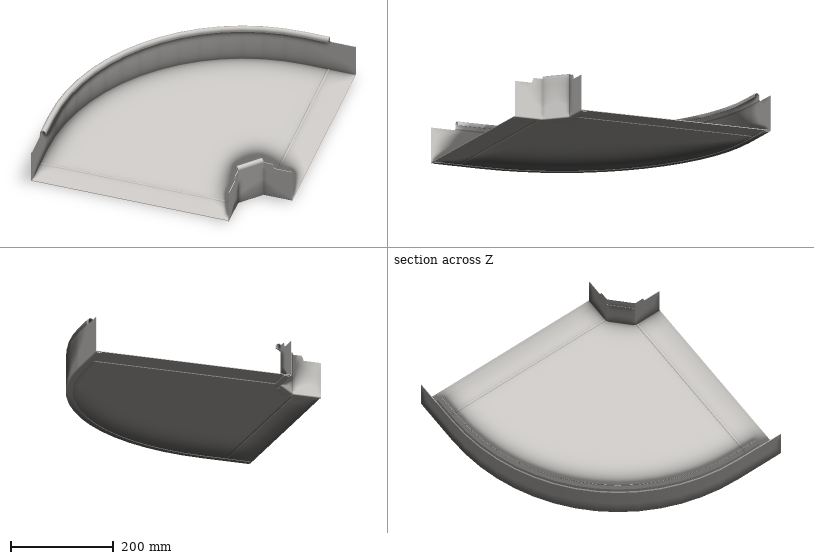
import cadquery as cq
import math

SIZE = 501.5
SHEET = 1.25
BEND_RADIUS = 2.5
FOOT_WIDTH = 13.5
FOOT_SETBACK = 3.5
TRAY_WIDTH = 404.0
STRAIGHT = 102.0
LIP_STOP = 51.5
HEIGHT = 88.0
LIP_RADIUS = 6.0
LIP_DROP = 3.0
LOW_TOP = 72.0
JOG_RISE = 2.5
JOG_INSET = 1.5
CORNER_LEG = 58.0
STEP_RUN = 40.0
STEP_SLANT = 4.0
BEAD_WIDTH = 5.5
BEAD_HEIGHT = 1.5

ARC_RADIUS = SIZE - STRAIGHT
ROLL_Z = HEIGHT - LIP_RADIUS
INNER_FACE = SIZE - TRAY_WIDTH
DIAGONAL = (INNER_FACE - CORNER_LEG) * math.sqrt(2)
MITRE = math.tan(math.radians(22.5))
FLOOR_TOP = 2 * SHEET

MIRROR_NORMAL = cq.Vector(1, 1, 0)
MIRROR_POINT = (SIZE / 2, SIZE / 2, 0)


def mirrored(leg):
    """The same feature on the other leg."""
    return leg.mirror(MIRROR_NORMAL, MIRROR_POINT)


def section_plane(x, y, inward):
    """Vertical plane whose local axes are the inset from the wall's outside and the height."""
    normal = cq.Vector(*inward).cross(cq.Vector(0, 0, 1))
    return cq.Workplane(cq.Plane(origin=(x, y, 0), xDir=inward, normal=normal))


def foot_section(plane):
    """Flange lying under the floor and the quarter-round bend up to the wall."""
    diagonal = math.sqrt(0.5)
    outer_mid = BEND_RADIUS * (1 - diagonal)
    inner_mid = BEND_RADIUS - (BEND_RADIUS - SHEET) * diagonal
    return (
        plane.moveTo(FOOT_WIDTH, 0)
        .lineTo(FOOT_WIDTH, SHEET)
        .lineTo(BEND_RADIUS, SHEET)
        .threePointArc((inner_mid, inner_mid), (SHEET, BEND_RADIUS))
        .lineTo(0, BEND_RADIUS)
        .threePointArc((outer_mid, outer_mid), (BEND_RADIUS, 0))
        .close()
    )


def jogged_wall_section(plane):
    """Outer wall, offset inward by the sloped jog."""
    jog_top = LOW_TOP + JOG_RISE
    return (
        plane.moveTo(0, BEND_RADIUS)
        .lineTo(0, LOW_TOP)
        .lineTo(JOG_INSET, jog_top)
        .lineTo(JOG_INSET, ROLL_Z)
        .lineTo(JOG_INSET + SHEET, ROLL_Z)
        .lineTo(JOG_INSET + SHEET, jog_top)
        .lineTo(SHEET, LOW_TOP)
        .lineTo(SHEET, BEND_RADIUS)
        .close()
    )


def lip_section(plane, inset):
    """Half-round roll turned inward over the wall, with a short straight tail."""
    middle = inset + LIP_RADIUS
    far = inset + 2 * LIP_RADIUS
    tail_z = ROLL_Z - LIP_DROP
    return (
        plane.moveTo(inset, ROLL_Z)
        .threePointArc((middle, HEIGHT), (far, ROLL_Z))
        .lineTo(far, tail_z)
        .lineTo(far - SHEET, tail_z)
        .lineTo(far - SHEET, ROLL_Z)
        .threePointArc((middle, HEIGHT - SHEET), (inset + SHEET, ROLL_Z))
        .close()
    )


def outer_sections(plane_at):
    """The three touching sections that make up the outer wall."""
    return [
        foot_section(plane_at()),
        jogged_wall_section(plane_at()),
        lip_section(plane_at(), JOG_INSET),
    ]


def open_end_notch(wall_y, side):
    """Foot corner left out at an open end; side is the direction from the wall to the foot."""
    flat = FOOT_WIDTH - BEND_RADIUS
    return (
        cq.Workplane("XY")
        .box(FOOT_SETBACK, flat, SHEET, centered=(False, True, False))
        .translate((SIZE - FOOT_SETBACK, wall_y + side * (BEND_RADIUS + flat / 2), 0))
    )


def make_outer_wall():
    leg = cq.Workplane("XY")
    for section in outer_sections(lambda: section_plane(SIZE, SIZE, (0, -1, 0))):
        leg = leg.union(section.extrude(STRAIGHT))
    above_low_top = (
        cq.Workplane("XY")
        .box(LIP_STOP, STRAIGHT, HEIGHT, centered=False)
        .translate((SIZE - LIP_STOP, SIZE - STRAIGHT, LOW_TOP))
    )
    leg = leg.cut(above_low_top).cut(open_end_notch(SIZE, -1))

    curve = cq.Workplane("XY")
    for section in outer_sections(lambda: section_plane(ARC_RADIUS, SIZE, (0, -1, 0))):
        curve = curve.union(section.revolve(90, (ARC_RADIUS, 0), (ARC_RADIUS, 1)))
    return leg.union(curve).union(mirrored(leg))


def inner_line(inset):
    """Plan points of the inner wall's face moved into the tray by an inset."""
    shift = inset * MITRE
    face = INNER_FACE + inset
    corner = CORNER_LEG + shift
    return [(SIZE - face, 0), (SIZE - face, corner), (SIZE - corner, face), (SIZE, face)]


def inner_wall_end_cut():
    """Space above the low end of the inner wall, bounded by the slanted step."""
    return (
        cq.Workplane("XZ", origin=(0, INNER_FACE, 0))
        .moveTo(SIZE - STEP_RUN, ROLL_Z)
        .lineTo(SIZE - STEP_RUN + STEP_SLANT, LOW_TOP)
        .lineTo(SIZE, LOW_TOP)
        .lineTo(SIZE, ROLL_Z)
        .close()
        .extrude(-SHEET)
    )


def make_inner_wall():
    end_cut = inner_wall_end_cut()
    wall = (
        cq.Workplane("XY", origin=(0, 0, BEND_RADIUS))
        .polyline(inner_line(0) + inner_line(SHEET)[::-1])
        .close()
        .extrude(ROLL_Z - BEND_RADIUS)
        .cut(end_cut)
        .cut(mirrored(end_cut))
    )

    leg_foot = foot_section(section_plane(SIZE - CORNER_LEG, INNER_FACE, (0, 1, 0)))
    leg_foot = leg_foot.extrude(CORNER_LEG).cut(open_end_notch(INNER_FACE, 1))

    inward = (-1, 1, 0)
    corner = (TRAY_WIDTH, CORNER_LEG)
    between_legs = (
        cq.Workplane("XY")
        .box(INNER_FACE, INNER_FACE, BEND_RADIUS, centered=False)
        .translate((TRAY_WIDTH, 0, 0))
    )
    diagonal_foot = foot_section(section_plane(*corner, inward)).extrude(DIAGONAL)
    diagonal_foot = diagonal_foot.intersect(between_legs)
    diagonal_lip = lip_section(section_plane(*corner, inward), 0).extrude(DIAGONAL)

    return (
        wall.union(leg_foot)
        .union(mirrored(leg_foot))
        .union(diagonal_foot)
        .union(diagonal_lip)
    )


def bead_arch(base):
    """Arched bar across the +X leg, its flat side at the given height."""
    outer_edge = SIZE - LIP_STOP
    middle = outer_edge - BEAD_WIDTH / 2
    near_edge = INNER_FACE + BEND_RADIUS
    far_edge = SIZE - BEND_RADIUS
    return (
        cq.Workplane("XZ", origin=(0, near_edge, 0))
        .moveTo(outer_edge - BEAD_WIDTH, base)
        .threePointArc((middle, base + BEAD_HEIGHT), (outer_edge, base))
        .close()
        .extrude(near_edge - far_edge)
    )


def make_floor():
    """Plate resting on the feet, with a bead pressed up across each leg."""
    gap = BEND_RADIUS
    inner_edge = inner_line(gap)
    arc_reach = (ARC_RADIUS - gap) * math.sqrt(0.5)
    bead = bead_arch(FLOOR_TOP)
    groove = bead_arch(SHEET)
    return (
        cq.Workplane("XY", origin=(0, 0, SHEET))
        .moveTo(gap, 0)
        .lineTo(gap, STRAIGHT)
        .threePointArc((ARC_RADIUS - arc_reach, STRAIGHT + arc_reach), (ARC_RADIUS, SIZE - gap))
        .lineTo(SIZE, SIZE - gap)
        .lineTo(*inner_edge[3])
        .lineTo(*inner_edge[2])
        .lineTo(*inner_edge[1])
        .lineTo(*inner_edge[0])
        .close()
        .extrude(SHEET)
        .union(bead)
        .union(mirrored(bead))
        .cut(groove)
        .cut(mirrored(groove))
    )


outer_wall = make_outer_wall().solids()
inner_wall = make_inner_wall().solids()
floor = make_floor().solids()

result = cq.Compound.makeCompound([outer_wall.val(), inner_wall.val(), floor.val()])